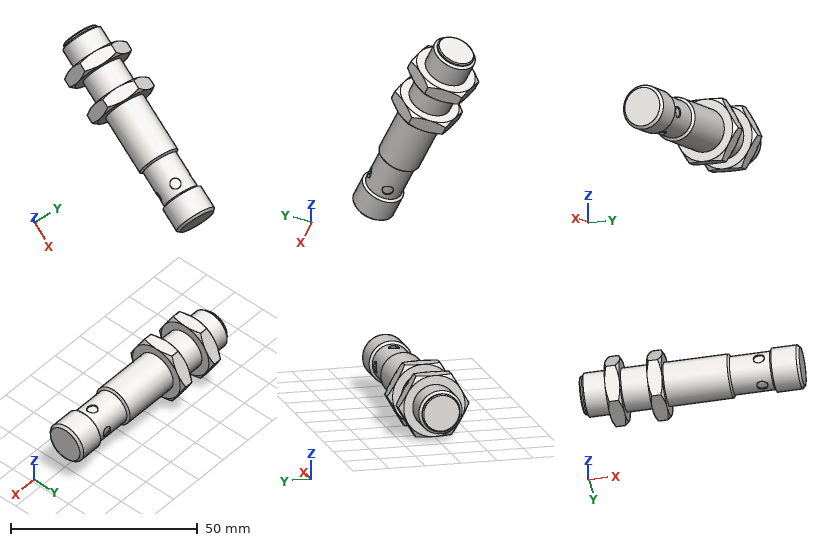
import cadquery as cq
import math

total_length = 60.0
body_diameter = 12.0
neck_diameter = 10.5
body_radius = body_diameter / 2
neck_radius = neck_diameter / 2
shoulder_chamfer = 0.5

nose_length = 0.7
nose_chamfer = 0.3

barrel_end = 41.0
collar_start = 51.95
rear_chamfer_length = 0.7

nut_across_flats = 17.0
nut_thickness = 4.0
nut_starts = (7.45, 19.0)
nut_chamfer_angle = math.radians(30)

recess_diameter = 3.0
recess_position = 49.0
recess_floor_radius = 4.85
recess_count = 4


def make_body():
    """Revolve the stepped and chamfered housing about the X axis."""
    profile = [
        (0, 0),
        (0, neck_radius - nose_chamfer),
        (nose_chamfer, neck_radius),
        (nose_length, neck_radius),
        (nose_length + shoulder_chamfer, body_radius),
        (barrel_end - shoulder_chamfer, body_radius),
        (barrel_end, neck_radius),
        (collar_start, neck_radius),
        (collar_start + shoulder_chamfer, body_radius),
        (total_length - rear_chamfer_length, body_radius),
        (total_length, neck_radius),
        (total_length, 0),
    ]
    return cq.Workplane("XY").polyline(profile).close().revolve(360, (0, 0, 0), (1, 0, 0))


def make_nut(start):
    """Hexagonal nut with its corners turned to a cone on both faces."""
    flat_radius = nut_across_flats / 2
    corner_radius = flat_radius / math.cos(math.pi / 6)
    chamfer_depth = (corner_radius - flat_radius) * math.tan(nut_chamfer_angle)
    end = start + nut_thickness
    hexagon = cq.Workplane("YZ", origin=(start, 0, 0)).polygon(6, 2 * corner_radius).extrude(nut_thickness)
    envelope_profile = [
        (start, 0),
        (start, flat_radius),
        (start + chamfer_depth, corner_radius),
        (end - chamfer_depth, corner_radius),
        (end, flat_radius),
        (end, 0),
    ]
    envelope = cq.Workplane("XY").polyline(envelope_profile).close().revolve(360, (0, 0, 0), (1, 0, 0))
    return hexagon.intersect(envelope)


def make_recess(angle):
    """Cutter for one radial recess with a floor concentric with the neck."""
    cutter = cq.Workplane("XY", origin=(recess_position, 0, 0)).circle(recess_diameter / 2).extrude(body_radius)
    core = cq.Workplane("YZ").circle(recess_floor_radius).extrude(total_length)
    return cutter.cut(core).rotate((0, 0, 0), (1, 0, 0), angle)


result = make_body()
for nut_start in nut_starts:
    result = result.union(make_nut(nut_start))
for index in range(recess_count):
    result = result.cut(make_recess(index * 360 / recess_count))